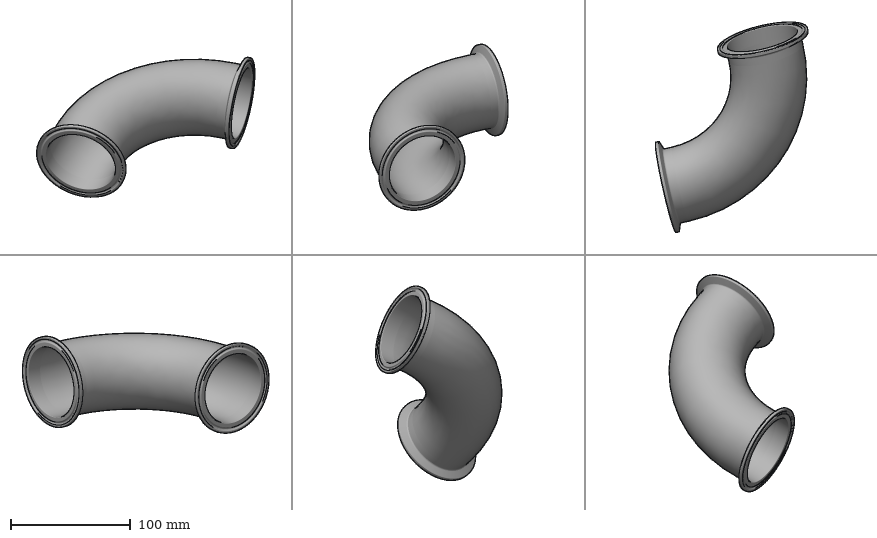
import cadquery as cq
import math

TUBE_OD = 63.5
TUBE_ID = 60.2
FLANGE_OD = 77.39
BEND_RADIUS = 95.25
FERRULE_LENGTH = 12.7

RIM_THICKNESS = 2.85
CONE_ANGLE = 20.0
RIM_FILLET = 0.5
NECK_FILLET = 1.15

GROOVE_DIAMETER = 70.64
GROOVE_WIDTH = 2.6
GROOVE_DEPTH = 1.2
GROOVE_EDGE_FILLET = 0.7

BORE_EDGE_FILLET = 0.35

TUBE_RADIUS = TUBE_OD / 2
BORE_RADIUS = TUBE_ID / 2
FLANGE_RADIUS = FLANGE_OD / 2
CONE_HEIGHT = (FLANGE_RADIUS - TUBE_RADIUS) * math.tan(math.radians(CONE_ANGLE))
NECK_HEIGHT = RIM_THICKNESS + CONE_HEIGHT

FACE_DISTANCE = BEND_RADIUS + FERRULE_LENGTH

SELECT_MARGIN = 0.01


def circle_edges(body, radius, height):
    """Edges of a body about Z that run round at the given radius and height."""
    low_corner = (-radius - SELECT_MARGIN, -radius - SELECT_MARGIN, height - SELECT_MARGIN)
    high_corner = (radius + SELECT_MARGIN, radius + SELECT_MARGIN, height + SELECT_MARGIN)
    inner = radius - SELECT_MARGIN
    inner_low_corner = (-inner, -inner, height - SELECT_MARGIN)
    inner_high_corner = (inner, inner, height + SELECT_MARGIN)
    reachable = cq.selectors.BoxSelector(low_corner, high_corner, boundingbox=True)
    too_small = cq.selectors.BoxSelector(inner_low_corner, inner_high_corner, boundingbox=True)
    return body.edges(reachable - too_small)


def make_ferrule():
    """Clamp ferrule about Z, sealing face at Z = 0 and tube end at Z = FERRULE_LENGTH."""
    groove_inner = (GROOVE_DIAMETER - GROOVE_WIDTH) / 2
    groove_outer = (GROOVE_DIAMETER + GROOVE_WIDTH) / 2
    profile = (
        cq.Workplane("XZ")
        .moveTo(BORE_RADIUS, 0)
        .lineTo(groove_inner, 0)
        .threePointArc((GROOVE_DIAMETER / 2, GROOVE_DEPTH), (groove_outer, 0))
        .lineTo(FLANGE_RADIUS, 0)
        .lineTo(FLANGE_RADIUS, RIM_THICKNESS)
        .lineTo(TUBE_RADIUS, NECK_HEIGHT)
        .lineTo(TUBE_RADIUS, FERRULE_LENGTH)
        .lineTo(BORE_RADIUS, FERRULE_LENGTH)
        .close()
    )
    ferrule = profile.revolve(360, (0, 0, 0), (0, 1, 0))
    ferrule = circle_edges(ferrule, TUBE_RADIUS, NECK_HEIGHT).fillet(NECK_FILLET)
    ferrule = circle_edges(ferrule, FLANGE_RADIUS, 0).fillet(RIM_FILLET)
    ferrule = circle_edges(ferrule, FLANGE_RADIUS, RIM_THICKNESS).fillet(RIM_FILLET)
    for groove_edge in (groove_inner, groove_outer):
        ferrule = circle_edges(ferrule, groove_edge, 0).fillet(GROOVE_EDGE_FILLET)
    return circle_edges(ferrule, BORE_RADIUS, 0).fillet(BORE_EDGE_FILLET)


def make_bend():
    """Quarter-torus tube from the -Y leg to the +X leg, centred on (R, -R)."""
    return (
        cq.Workplane("XZ", origin=(0, -BEND_RADIUS, 0))
        .circle(TUBE_RADIUS)
        .circle(BORE_RADIUS)
        .revolve(90, (BEND_RADIUS, 0, 0), (BEND_RADIUS, -1, 0))
    )


ferrule = make_ferrule()
lower_ferrule = ferrule.rotate((0, 0, 0), (1, 0, 0), -90).translate((0, -FACE_DISTANCE, 0))
side_ferrule = ferrule.rotate((0, 0, 0), (0, 1, 0), -90).translate((FACE_DISTANCE, 0, 0))
result = make_bend().union(lower_ferrule).union(side_ferrule)